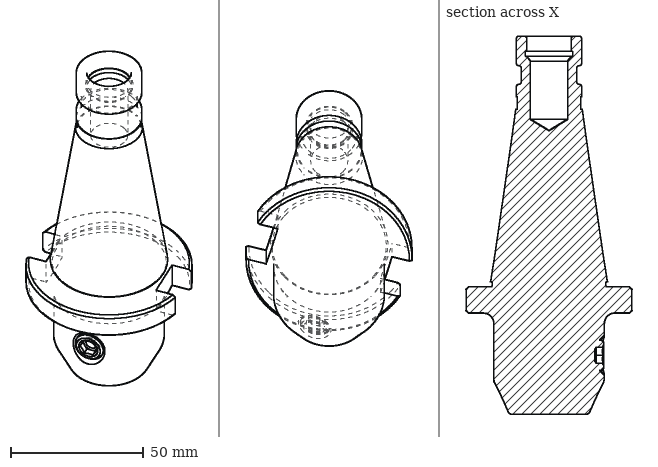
import cadquery as cq
import math

total_height = 143.4

body_radius = 42.0 / 2
nose_cone_height = 12.8
nose_cone_angle = 25.0
nose_edge_radius = 2.0
nose_end_radius = body_radius - nose_cone_height * math.tan(math.radians(nose_cone_angle))

flange_radius = 63.0 / 2
flange_bottom = 38.5
flange_top = 48.5
flange_chamfer = 1.0
flange_root_radius = 4.0
slot_width = 16.0
slot_floor = 22.5

taper_ratio = 7 / 24
taper_bottom = 50.3
taper_top = 115.7
taper_large_radius = 22.2
taper_small_radius = taper_large_radius - (taper_top - taper_bottom) * taper_ratio / 2
taper_groove_depth = 0.6

pilot_radius = 12.5
relief_depth = 0.5
neck_radius = 21.2 / 2
ring_bottom = 120.3
ring_top = 125.2
head_bottom = 132.0
pilot_edge_radius = 1.0
neck_root_radius = 0.7

bore_radius = 16.8 / 2
bore_depth = 7.7
bore_groove_width = 2.0
bore_groove_depth = 0.6
bore_edge_radius = 0.9
drill_radius = 7.0
drill_cone_start = 9.5
drill_depth = 31.5
drill_tip_angle = 118.0

screw_height = 22.5
screw_radius = 5.7
screw_face = 20.8
screw_chamfer = 0.9
countersink_radius = 15.0 / 2
socket_width = 6.0
socket_mouth_radius = 3.9
socket_mouth_depth = 0.6
socket_depth = 2.9
socket_floor_radius = 2.3
socket_floor_step = 0.5


def revolve_about_z(profile):
    """Solid of revolution about Z from an open outline of radius and height ending on the axis."""
    return profile.close().revolve(360, (0, 0, 0), (0, 1, 0))


def make_nose():
    """Cylindrical body with a conical nose, rounded at both ends of the cone."""
    profile = (
        cq.Workplane("XZ")
        .lineTo(nose_end_radius, 0)
        .lineTo(body_radius, nose_cone_height)
        .lineTo(body_radius, flange_bottom)
        .lineTo(0, flange_bottom)
    )
    return revolve_about_z(profile).edges("%CIRCLE").edges("not >Z").fillet(nose_edge_radius)


def make_flange():
    """Flat disc chamfered on both rims."""
    return (
        cq.Workplane("XY").workplane(offset=flange_bottom)
        .circle(flange_radius).extrude(flange_top - flange_bottom)
        .edges().chamfer(flange_chamfer)
    )


def make_flange_root():
    """Concave ring that blends the body into the underside of the flange."""
    start = flange_bottom - flange_root_radius
    outer = body_radius + flange_root_radius
    diagonal = flange_root_radius * math.sqrt(0.5)
    profile = (
        cq.Workplane("XZ")
        .moveTo(0, start)
        .lineTo(body_radius, start)
        .threePointArc((outer - diagonal, start + diagonal), (outer, flange_bottom))
        .lineTo(0, flange_bottom)
    )
    return revolve_about_z(profile)


def make_shank():
    """Taper and pilot end above the flange, with relief grooves that have rounded roots."""
    relief_radius = pilot_radius - relief_depth
    groove_radius = taper_large_radius - taper_groove_depth
    profile = (
        cq.Workplane("XZ")
        .moveTo(0, flange_top)
        .lineTo(taper_large_radius, flange_top)
        .radiusArc((groove_radius, flange_top + taper_groove_depth), taper_groove_depth)
        .lineTo(groove_radius, taper_bottom - taper_groove_depth)
        .radiusArc((taper_large_radius, taper_bottom), taper_groove_depth)
        .lineTo(taper_small_radius, taper_top)
        .lineTo(pilot_radius, taper_top)
        .radiusArc((relief_radius, taper_top + relief_depth), relief_depth)
        .lineTo(relief_radius, ring_bottom - relief_depth)
        .radiusArc((pilot_radius, ring_bottom), relief_depth)
        .lineTo(pilot_radius, ring_top - pilot_edge_radius)
        .radiusArc((pilot_radius - pilot_edge_radius, ring_top), -pilot_edge_radius)
        .lineTo(neck_radius + neck_root_radius, ring_top)
        .radiusArc((neck_radius, ring_top + neck_root_radius), neck_root_radius)
        .lineTo(neck_radius, head_bottom - neck_root_radius)
        .radiusArc((neck_radius + neck_root_radius, head_bottom), neck_root_radius)
        .lineTo(pilot_radius - pilot_edge_radius, head_bottom)
        .radiusArc((pilot_radius, head_bottom + pilot_edge_radius), -pilot_edge_radius)
        .lineTo(pilot_radius, total_height - pilot_edge_radius)
        .radiusArc((pilot_radius - pilot_edge_radius, total_height), -pilot_edge_radius)
        .lineTo(0, total_height)
    )
    return revolve_about_z(profile)


def make_key_slots():
    """Two opposite blocks that cut the slots through the flange and its root."""
    depth = flange_radius - slot_floor
    return (
        cq.Workplane("XY").workplane(offset=flange_bottom - flange_root_radius)
        .pushPoints([(side * (slot_floor + depth / 2), 0) for side in (-1, 1)])
        .rect(depth, slot_width)
        .extrude(flange_top - flange_bottom + flange_root_radius)
    )


def make_draw_bar_hole():
    """Bore with a rounded mouth and a relief groove at its end, then a drilled hole with a conical tip."""
    tip_height = drill_radius / math.tan(math.radians(drill_tip_angle / 2))
    groove_bottom = total_height - bore_depth
    groove_radius = bore_radius + bore_groove_depth
    profile = (
        cq.Workplane("XZ")
        .moveTo(0, total_height)
        .lineTo(bore_radius + bore_edge_radius, total_height)
        .radiusArc((bore_radius, total_height - bore_edge_radius), -bore_edge_radius)
        .lineTo(bore_radius, groove_bottom + bore_groove_width)
        .radiusArc(
            (groove_radius, groove_bottom + bore_groove_width - bore_groove_depth), bore_groove_depth
        )
        .lineTo(groove_radius, groove_bottom + bore_groove_depth)
        .radiusArc((bore_radius, groove_bottom), bore_groove_depth)
        .lineTo(drill_radius, total_height - drill_cone_start)
        .lineTo(drill_radius, total_height - drill_depth)
        .lineTo(0, total_height - drill_depth - tip_height)
    )
    return revolve_about_z(profile)


def screw_plane(distance):
    """Plane square to the screw at a distance from the part axis, facing outward."""
    return cq.Workplane(cq.Plane((0, -distance, screw_height), (1, 0, 0), (0, -1, 0)))


def cone_on_screw_axis(start, start_radius, end, end_radius):
    """Cone or cylinder on the screw axis between two distances from the part axis."""
    return (
        screw_plane(start).circle(start_radius)
        .workplane(offset=end - start).circle(end_radius)
        .loft(ruled=True)
    )


def cut_countersink(part):
    """Conical sink around the screw, cut into the body."""
    sink_end = body_radius - (countersink_radius - screw_radius)
    sink = cone_on_screw_axis(sink_end, screw_radius, body_radius, countersink_radius)
    return part.cut(sink)


def make_screw_end():
    """Chamfered end of the screw, standing in the countersink and rooted inside the body."""
    shoulder = screw_face - screw_chamfer
    root = shoulder - socket_depth
    shaft = screw_plane(root).circle(screw_radius).extrude(shoulder - root)
    tip = cone_on_screw_axis(shoulder, screw_radius, screw_face, screw_radius - screw_chamfer)
    return shaft.union(tip)


def make_socket():
    """Hexagon socket with a conical mouth and a conical step to its flat floor."""
    corner_radius = socket_width / math.sqrt(3)
    flat_radius = socket_width / 2
    hexagon = screw_plane(screw_face - socket_depth).polygon(6, 2 * corner_radius).extrude(socket_depth)
    mouth = cone_on_screw_axis(screw_face - socket_mouth_depth, flat_radius, screw_face, socket_mouth_radius)
    floor_start = screw_face - socket_depth
    floor = cone_on_screw_axis(floor_start - socket_floor_step, socket_floor_radius, floor_start, flat_radius)
    return hexagon.union(mouth).union(floor)


result = make_nose().union(make_flange_root()).union(make_flange()).union(make_shank())
result = result.cut(make_key_slots()).cut(make_draw_bar_hole())
result = cut_countersink(result).union(make_screw_end()).cut(make_socket())